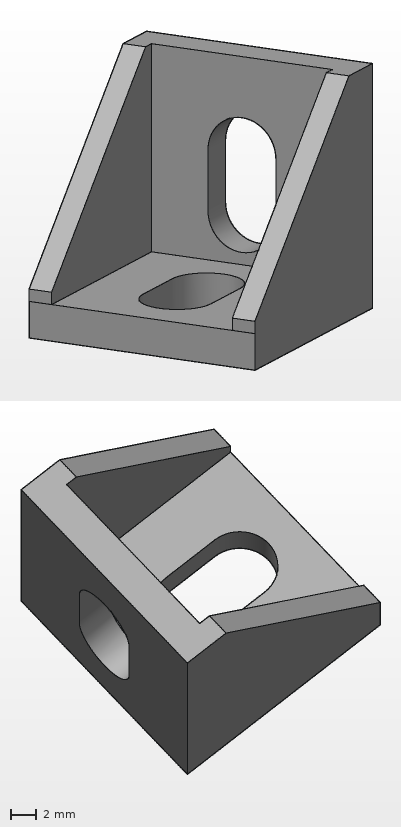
import cadquery as cq

width = 20.0
depth = 20.0
height = 20.0
plate_thickness = 3.0

rib_thickness = 2.0
rib_land = 1.01
rib_overhang = 0.01

slot_width = 6.0
slot_length = 11.0
base_slot_front_gap = 2.96
wall_slot_top_gap = 5.0

wall_front = depth - plate_thickness


def make_plates():
    base = cq.Workplane("XY").box(width, depth, plate_thickness, centered=(True, False, False))
    wall = (
        cq.Workplane("XY")
        .box(width, plate_thickness, height, centered=(True, False, False))
        .translate((0, wall_front, 0))
    )
    return base.union(wall)


def make_rib(x_start):
    """Side rib filling the corner between the plates, from x_start towards +X."""
    return (
        cq.Workplane("YZ", origin=(x_start, 0, 0))
        .moveTo(-rib_overhang, plate_thickness)
        .lineTo(wall_front, plate_thickness)
        .lineTo(wall_front, height)
        .lineTo(wall_front - rib_land, height)
        .lineTo(-rib_overhang, plate_thickness + rib_land)
        .close()
        .extrude(rib_thickness)
    )


def make_base_slot():
    centre_y = base_slot_front_gap + slot_length / 2
    return (
        cq.Workplane("XY")
        .center(0, centre_y)
        .slot2D(slot_length, slot_width, 90)
        .extrude(plate_thickness)
    )


def make_wall_slot():
    centre_z = height - wall_slot_top_gap - slot_length / 2
    return (
        cq.Workplane("XZ", origin=(0, depth, 0))
        .center(0, centre_z)
        .slot2D(slot_length, slot_width, 90)
        .extrude(plate_thickness)
    )


result = make_plates()
for rib_start in (-width / 2, width / 2 - rib_thickness):
    result = result.union(make_rib(rib_start))
result = result.cut(make_base_slot()).cut(make_wall_slot())